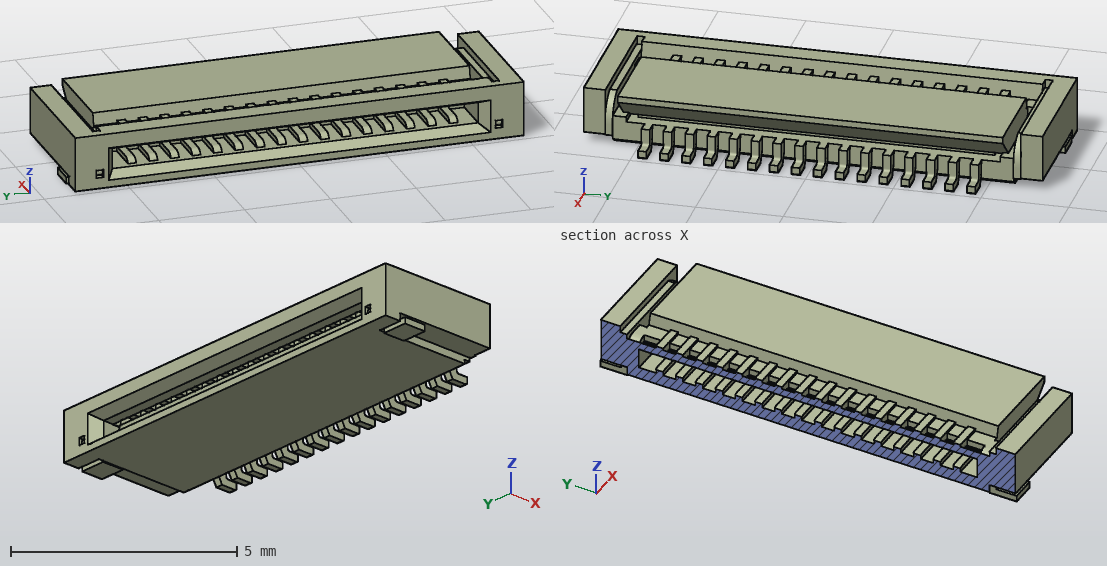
import cadquery as cq
import math

TOTAL_WIDTH = 10.5
FLANGE_OVERHANG = 0.02
HOUSING_HALF = TOTAL_WIDTH / 2 - FLANGE_OVERHANG
HOUSING_DEPTH = 3.15
HOUSING_BOTTOM = 0.026
TOP = 1.3

UNDERCUT_FRONT = 0.44
UNDERCUT_TOP = 0.22
REAR_STEP_X = 3.0
REAR_STEP_TOP = 0.13

SLOT_EDGE_DISTANCE = 0.51
SLOT_WIDTH = 0.17
SLOT_OUTER = TOTAL_WIDTH / 2 - SLOT_EDGE_DISTANCE
SLOT_INNER = SLOT_OUTER - SLOT_WIDTH
SLOT_FRONT = 0.25
WINDOW_BOTTOM = 0.28
WINDOW_TOP = 0.46

MOUTH_HALF = 4.45
MOUTH_BOTTOM = 0.2
MOUTH_TOP = 0.97
THROAT_HALF = 4.26
THROAT_BOTTOM = 0.34
THROAT_TOP = 0.82
THROAT_X = 0.3
CABLE_STOP_X = 1.26
REAR_FLOOR = 0.58

BAR_TOP_DEPTH = 0.5
BAR_BOTTOM_DEPTH = 0.59
LEDGE_HIGH_X = 1.2
LEDGE_HIGH = THROAT_TOP
LEDGE_RAMP_START = 1.42
LEDGE_RAMP_TOP = 0.76
LEDGE_RAMP_END = 2.11
LEDGE_LOW = 0.69

COVER_HALF = 4.39
COVER_FRONT = 1.29
COVER_FOOT = 1.23
COVER_REAR = 3.41
COVER_REAR_EDGE_BOTTOM = 1.15
COVER_UNDERSIDE_SLOPE = 0.91
ACTUATOR_BOTTOM = 0.64
WEB_TOP = 1.02
WEB_HALF = 4.29
WEB_EDGE_X = 0.75
WEB_EDGE_BOTTOM = 0.68
WEB_STEP_FRONT = 0.8
WEB_STEP_REAR = 0.85
WEB_STEP_Z = 0.86
WEB_LIP_REAR = 0.95
EAR_RADIUS = 0.22
EAR_REAR = 1.13
KEEL_HALF = 4.06

CONTACT_COUNT = 16
CONTACT_PITCH = 0.5
CONTACT_WIDTH = 0.19
ARM_TOP = 1.07
ARM_FRONT = 0.54
ARM_REAR = 1.47
TIP_FRONT = 0.46
TIP_TOP = 0.45
TIP_RADIUS = 0.2
TAIL_ROOT_X = 2.94
TAIL_ROOT_BOTTOM = 0.5
TAIL_FRONT = 3.18
TAIL_KNEE_Z = 0.23
TAIL_HEEL_X = 3.31
TAIL_BACK = 3.43
TAIL_END = 3.75
TAIL_THICKNESS = 0.19
TAIL_BEND_RADIUS = 0.06
TAIL_TIP_CHAMFER = 0.03

RETAINER_FRONT = 0.32
RETAINER_REAR = 3.18
RETAINER_TOP = 1.13
RETAINER_CORNER_FRONT = 2.74
RETAINER_CORNER_BOTTOM = 0.5
RETAINER_CORNER_RADIUS = 0.65
NOSE_CENTER_X = 0.17
FLANGE_FRONT = 0.57
FLANGE_REAR = 1.17
FLANGE_THICKNESS = 0.16


def block(x_start, x_end, y_start, y_end, z_start, z_end):
    size = (x_end - x_start, y_end - y_start, z_end - z_start)
    return cq.Workplane("XY").box(*size, centered=False).translate((x_start, y_start, z_start))


def centered_block(x_start, x_end, half_width, z_start, z_end):
    return block(x_start, x_end, -half_width, half_width, z_start, z_end)


def spread(profile, half_width):
    """Extrude an XZ profile symmetrically about the middle plane."""
    return profile.close().extrude(half_width, both=True)


def both_sides(solid):
    """Add the mirror image of a solid on the other end of the row."""
    return solid.union(solid.mirror("XZ"))


def make_cable_mouth():
    def opening(x, half, bottom, top):
        return [(x, -half, bottom), (x, half, bottom), (x, half, top), (x, -half, top)]

    outer = cq.Wire.makePolygon(
        [cq.Vector(*p) for p in opening(0, MOUTH_HALF, MOUTH_BOTTOM, MOUTH_TOP)], close=True
    )
    inner = cq.Wire.makePolygon(
        [cq.Vector(*p) for p in opening(THROAT_X, THROAT_HALF, THROAT_BOTTOM, THROAT_TOP)], close=True
    )
    lead_in = cq.Workplane(obj=cq.Solid.makeLoft([outer, inner], True))
    throat = centered_block(THROAT_X, CABLE_STOP_X, THROAT_HALF, THROAT_BOTTOM, THROAT_TOP)
    return lead_in.union(throat)


def make_housing():
    body = centered_block(0, HOUSING_DEPTH, HOUSING_HALF, HOUSING_BOTTOM, TOP)
    upper_cavity = spread(
        cq.Workplane("XZ")
        .moveTo(BAR_TOP_DEPTH, TOP)
        .lineTo(BAR_BOTTOM_DEPTH, LEDGE_HIGH)
        .lineTo(LEDGE_HIGH_X, LEDGE_HIGH)
        .lineTo(LEDGE_HIGH_X, LEDGE_RAMP_TOP)
        .lineTo(LEDGE_RAMP_START, LEDGE_RAMP_TOP)
        .lineTo(LEDGE_RAMP_END, LEDGE_LOW)
        .lineTo(HOUSING_DEPTH, LEDGE_LOW)
        .lineTo(HOUSING_DEPTH, TOP),
        SLOT_INNER,
    )
    actuator_space = centered_block(BAR_BOTTOM_DEPTH, HOUSING_DEPTH, THROAT_HALF, REAR_FLOOR, LEDGE_HIGH)
    undercut = both_sides(
        block(UNDERCUT_FRONT, HOUSING_DEPTH, SLOT_INNER, HOUSING_HALF, HOUSING_BOTTOM, UNDERCUT_TOP)
    )
    rear_step = centered_block(REAR_STEP_X, HOUSING_DEPTH, HOUSING_HALF, HOUSING_BOTTOM, REAR_STEP_TOP)
    slot = both_sides(block(SLOT_FRONT, HOUSING_DEPTH, SLOT_INNER, SLOT_OUTER, WINDOW_BOTTOM, TOP))
    window = both_sides(block(0, SLOT_FRONT, SLOT_INNER, SLOT_OUTER, WINDOW_BOTTOM, WINDOW_TOP))
    for pocket in (upper_cavity, actuator_space, make_cable_mouth(), undercut, rear_step, slot, window):
        body = body.cut(pocket)
    return body


def make_actuator():
    underside_rear = COVER_REAR - (COVER_REAR_EDGE_BOTTOM - ACTUATOR_BOTTOM) / COVER_UNDERSIDE_SLOPE
    cover = spread(
        cq.Workplane("XZ")
        .moveTo(COVER_FRONT, TOP)
        .lineTo(COVER_REAR, TOP)
        .lineTo(COVER_REAR, COVER_REAR_EDGE_BOTTOM)
        .lineTo(underside_rear, ACTUATOR_BOTTOM)
        .lineTo(COVER_FOOT, ACTUATOR_BOTTOM)
        .lineTo(COVER_FOOT, WEB_TOP),
        COVER_HALF,
    )
    web = spread(
        cq.Workplane("XZ")
        .moveTo(WEB_EDGE_X, WEB_EDGE_BOTTOM)
        .lineTo(WEB_STEP_FRONT, WEB_STEP_Z)
        .lineTo(WEB_STEP_REAR, WEB_STEP_Z)
        .lineTo(WEB_STEP_REAR, WEB_TOP)
        .lineTo(COVER_FRONT, WEB_TOP)
        .lineTo(COVER_FRONT, ACTUATOR_BOTTOM)
        .lineTo(WEB_LIP_REAR, ACTUATOR_BOTTOM)
        .lineTo(WEB_LIP_REAR, WEB_EDGE_BOTTOM),
        WEB_HALF,
    )
    ear_profile = (
        cq.Workplane("XZ", origin=(0, SLOT_INNER, 0))
        .moveTo(BAR_BOTTOM_DEPTH, LEDGE_LOW)
        .lineTo(BAR_BOTTOM_DEPTH, WEB_TOP - EAR_RADIUS)
        .radiusArc((BAR_BOTTOM_DEPTH + EAR_RADIUS, WEB_TOP), EAR_RADIUS)
        .lineTo(EAR_REAR, WEB_TOP)
        .lineTo(EAR_REAR, LEDGE_LOW)
        .close()
    )
    ears = both_sides(ear_profile.extrude(SLOT_INNER - WEB_HALF))
    ear_bridge = centered_block(EAR_REAR, COVER_FRONT, COVER_HALF, LEDGE_LOW, WEB_TOP)
    keel = centered_block(CABLE_STOP_X, underside_rear, KEEL_HALF, REAR_FLOOR, ACTUATOR_BOTTOM)
    return cover.union(web).union(ears).union(ear_bridge).union(keel)


def make_contact():
    half = CONTACT_WIDTH / 2
    upper_arm = centered_block(ARM_FRONT, ARM_REAR, half, WEB_STEP_Z, ARM_TOP)
    tip_rise = TIP_TOP - THROAT_BOTTOM
    tip_run = math.sqrt(TIP_RADIUS**2 - (TIP_RADIUS - tip_rise) ** 2)
    lower_tip = spread(
        cq.Workplane("XZ")
        .moveTo(TIP_FRONT, THROAT_BOTTOM)
        .radiusArc((TIP_FRONT + tip_run, TIP_TOP), TIP_RADIUS)
        .lineTo(CABLE_STOP_X, TIP_TOP)
        .lineTo(CABLE_STOP_X, THROAT_BOTTOM),
        half,
    )
    tail = spread(
        cq.Workplane("XZ")
        .moveTo(TAIL_ROOT_X, REAR_FLOOR)
        .lineTo(TAIL_BACK, REAR_FLOOR)
        .lineTo(TAIL_BACK, TAIL_THICKNESS + TAIL_BEND_RADIUS)
        .radiusArc((TAIL_BACK + TAIL_BEND_RADIUS, TAIL_THICKNESS), -TAIL_BEND_RADIUS)
        .lineTo(TAIL_END, TAIL_THICKNESS)
        .lineTo(TAIL_END, TAIL_TIP_CHAMFER)
        .lineTo(TAIL_END - TAIL_TIP_CHAMFER, 0)
        .lineTo(TAIL_HEEL_X, 0)
        .lineTo(TAIL_FRONT, TAIL_KNEE_Z)
        .lineTo(TAIL_FRONT, TAIL_ROOT_BOTTOM)
        .lineTo(TAIL_ROOT_X, TAIL_ROOT_BOTTOM),
        half,
    )
    return upper_arm.union(lower_tip).union(tail)


def make_retainer():
    plate = (
        cq.Workplane("XZ", origin=(0, SLOT_OUTER, 0))
        .moveTo(RETAINER_FRONT, UNDERCUT_TOP)
        .lineTo(RETAINER_FRONT, RETAINER_TOP)
        .lineTo(RETAINER_CORNER_FRONT, RETAINER_TOP)
        .radiusArc((RETAINER_REAR, RETAINER_CORNER_BOTTOM), RETAINER_CORNER_RADIUS)
        .lineTo(RETAINER_REAR, UNDERCUT_TOP)
        .close()
        .extrude(SLOT_WIDTH)
    )
    nose_radius = (WINDOW_TOP - WINDOW_BOTTOM) / 2
    nose = (
        cq.Workplane("XZ", origin=(NOSE_CENTER_X, SLOT_OUTER, WINDOW_BOTTOM + nose_radius))
        .circle(nose_radius)
        .extrude(SLOT_WIDTH)
    )
    shank = block(NOSE_CENTER_X, RETAINER_FRONT, SLOT_INNER, SLOT_OUTER, WINDOW_BOTTOM, WINDOW_TOP)
    flange = block(FLANGE_FRONT, FLANGE_REAR, SLOT_INNER, TOTAL_WIDTH / 2, 0, FLANGE_THICKNESS)
    bend = block(FLANGE_FRONT, FLANGE_REAR, SLOT_INNER, SLOT_OUTER, 0, UNDERCUT_TOP)
    return plate.union(nose).union(shank).union(flange).union(bend)


result = make_housing().union(make_actuator()).union(both_sides(make_retainer()))
contact = make_contact()
for index in range(CONTACT_COUNT):
    offset = (index - (CONTACT_COUNT - 1) / 2) * CONTACT_PITCH
    result = result.union(contact.translate((0, offset, 0)))